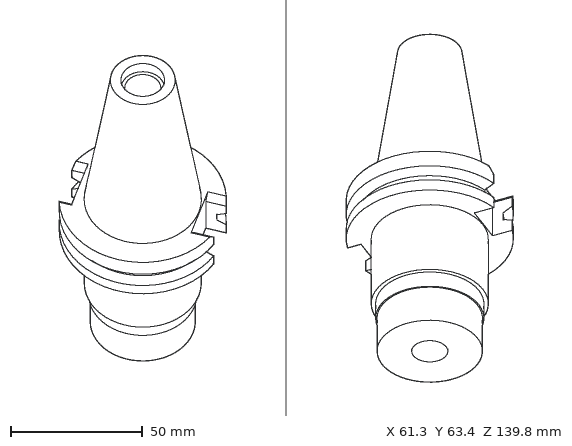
import cadquery as cq
import math

total_height = 139.8
nose_top = 15.5
collar_top = 22.2
flange_bottom = 52.5
flange_top = 70.7
taper_start = 71.6

nose_radius = 20.0
collar_radius = 20.5
body_radius = 22.2
flange_radius = 31.7
taper_end_radius = 12.3

groove_radius = 28.1
groove_lower_edge = 57.3
groove_upper_edge = 63.9
groove_floor_bottom = 58.9
groove_floor_top = 62.0

slot_half_width = 8.1
shallow_slot_floor_x = -25.0
deep_slot_floor_x = 22.5
slot_chamfer = 2.7

bore_radius = 6.9
counterbore_radius = 8.2
counterbore_depth = 4.8


def turned_body():
    """Revolve the nose, body, grooved flange and taper about Z."""
    profile = [
        (0, 0),
        (nose_radius, 0),
        (nose_radius, nose_top),
        (collar_radius, nose_top),
        (collar_radius, collar_top),
        (body_radius, collar_top),
        (body_radius, flange_bottom),
        (flange_radius, flange_bottom),
        (flange_radius, groove_lower_edge),
        (groove_radius, groove_floor_bottom),
        (groove_radius, groove_floor_top),
        (flange_radius, groove_upper_edge),
        (flange_radius, flange_top),
        (body_radius, flange_top),
        (body_radius, taper_start),
        (taper_end_radius, total_height),
        (0, total_height),
    ]
    return cq.Workplane("XZ").polyline(profile).close().revolve(360, (0, 0), (0, 1))


def drive_slot(floor_x):
    """Cutter for a slot with chamfered upper edges from its floor outward along X."""
    outer_x = math.copysign(flange_radius, floor_x)
    mouth_half_width = slot_half_width + slot_chamfer
    outline = [
        (-slot_half_width, flange_bottom),
        (slot_half_width, flange_bottom),
        (slot_half_width, flange_top - slot_chamfer),
        (mouth_half_width, flange_top),
        (-mouth_half_width, flange_top),
        (-slot_half_width, flange_top - slot_chamfer),
    ]
    return (
        cq.Workplane("YZ", origin=(floor_x, 0, 0))
        .polyline(outline)
        .close()
        .extrude(outer_x - floor_x)
    )


def axial_bore():
    """Cutter for the through bore and its counterbore."""
    bore = cq.Workplane("XY").circle(bore_radius).extrude(total_height)
    counterbore = (
        cq.Workplane("XY", origin=(0, 0, total_height - counterbore_depth))
        .circle(counterbore_radius)
        .extrude(counterbore_depth)
    )
    return bore.union(counterbore)


result = turned_body().cut(axial_bore())
for floor_x in (shallow_slot_floor_x, deep_slot_floor_x):
    result = result.cut(drive_slot(floor_x))